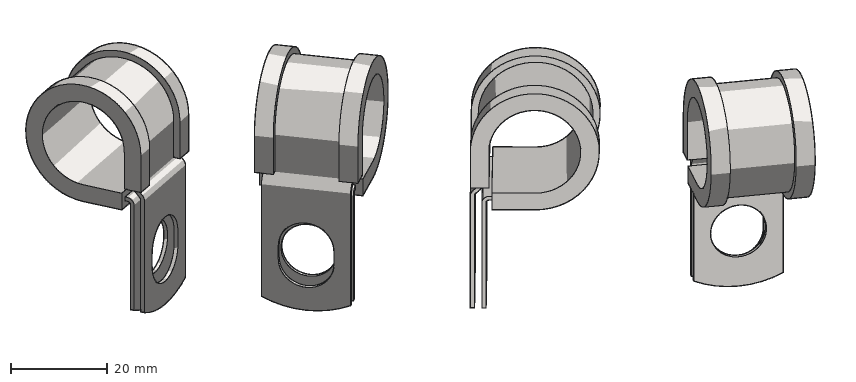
import cadquery as cq
import math

OUTER_RADIUS = 13.4
BORE_RADIUS = 9.5
CUSHION_WIDTH = 22.1
SIDE_LEG = 8.4
BOTTOM_LEG = 8.95
GROOVE_WIDTH = 14.0

STRAP_OUTER_RADIUS = 11.9
STRAP_THICKNESS = 0.9
STRAP_WIDTH = 19.05
BEND_INNER_RADIUS = 0.7
JOG_ANGLE = math.radians(45)
JOG_START_Z = -8.5

OUTER_TAB_FACE_X = 13.45
INNER_TAB_FACE_X = 11.05
TAB_BOTTOM_Z = OUTER_RADIUS - 52.25
TAB_END_RISE = 2.15
HOLE_DIAMETER = 11.85
HOLE_Z = -26.2
SLOT_LENGTH = 14.8

STRAP_RADIUS = STRAP_OUTER_RADIUS - STRAP_THICKNESS / 2
BEND_RADIUS = BEND_INNER_RADIUS + STRAP_THICKNESS / 2
OUTER_TAB_X = OUTER_TAB_FACE_X - STRAP_THICKNESS / 2
INNER_TAB_X = INNER_TAB_FACE_X - STRAP_THICKNESS / 2


def loop_solid(radius, width):
    """Filled three-quarter round with a square corner at +X, -Z."""
    end_plane = cq.Workplane("XZ", origin=(0, width / 2, 0))
    disc = end_plane.circle(radius).extrude(width)
    corner = end_plane.rect(radius, -radius, centered=False).extrude(width)
    return disc.union(corner)


def make_cushion():
    """Lined loop, grooved outside and open at the lower +X corner."""
    cushion = loop_solid(OUTER_RADIUS, CUSHION_WIDTH).cut(loop_solid(BORE_RADIUS, CUSHION_WIDTH))
    groove = loop_solid(OUTER_RADIUS, GROOVE_WIDTH).cut(loop_solid(STRAP_OUTER_RADIUS, GROOVE_WIDTH))
    side_opening = (
        cq.Workplane("XZ", origin=(BORE_RADIUS, CUSHION_WIDTH / 2, -SIDE_LEG))
        .rect(OUTER_RADIUS, -OUTER_RADIUS, centered=False)
        .extrude(CUSHION_WIDTH)
    )
    bottom_opening = (
        cq.Workplane("XZ", origin=(BOTTOM_LEG, CUSHION_WIDTH / 2, -BORE_RADIUS))
        .rect(OUTER_RADIUS, -OUTER_RADIUS, centered=False)
        .extrude(CUSHION_WIDTH)
    )
    return cushion.cut(groove).cut(side_opening).cut(bottom_opening)


def make_strap():
    """One strip swept from the outer tab, round the loop, to the inner tab."""
    bend_run = BEND_RADIUS * math.sin(JOG_ANGLE)
    bend_shift = BEND_RADIUS * (1 - math.cos(JOG_ANGLE))
    jog_shift = OUTER_TAB_X - STRAP_RADIUS
    jog_height = 2 * bend_run + (jog_shift - 2 * bend_shift) / math.tan(JOG_ANGLE)
    jog_end_z = JOG_START_Z - jog_height
    diagonal = math.sqrt(0.5)

    path = (
        cq.Workplane("XZ")
        .moveTo(OUTER_TAB_X, TAB_BOTTOM_Z)
        .lineTo(OUTER_TAB_X, jog_end_z)
        .tangentArcPoint((OUTER_TAB_X - bend_shift, jog_end_z + bend_run), relative=False)
        .lineTo(STRAP_RADIUS + bend_shift, JOG_START_Z - bend_run)
        .tangentArcPoint((STRAP_RADIUS, JOG_START_Z), relative=False)
        .lineTo(STRAP_RADIUS, 0)
        .threePointArc((-STRAP_RADIUS * diagonal, STRAP_RADIUS * diagonal), (0, -STRAP_RADIUS))
        .lineTo(INNER_TAB_X - BEND_RADIUS, -STRAP_RADIUS)
        .tangentArcPoint((INNER_TAB_X, -STRAP_RADIUS - BEND_RADIUS), relative=False)
        .lineTo(INNER_TAB_X, TAB_BOTTOM_Z)
    )
    return (
        cq.Workplane("XY", origin=(OUTER_TAB_X, 0, TAB_BOTTOM_Z))
        .rect(STRAP_THICKNESS, STRAP_WIDTH)
        .sweep(path)
    )


def tab_profile_cutter():
    """Material below the rounded tab ends, together with the bolt hole and slot."""
    corner_z = TAB_BOTTOM_Z + TAB_END_RISE
    below_z = TAB_BOTTOM_Z - TAB_END_RISE
    half_width = STRAP_WIDTH / 2
    below_ends = (
        cq.Workplane("YZ")
        .moveTo(-half_width, corner_z)
        .threePointArc((0, TAB_BOTTOM_Z), (half_width, corner_z))
        .lineTo(half_width, below_z)
        .lineTo(-half_width, below_z)
        .close()
        .extrude(2 * OUTER_RADIUS)
    )
    bolt_hole = (
        cq.Workplane("YZ", origin=(0, 0, HOLE_Z))
        .circle(HOLE_DIAMETER / 2)
        .extrude(INNER_TAB_FACE_X)
    )
    adjusting_slot = (
        cq.Workplane("YZ", origin=(INNER_TAB_FACE_X, 0, HOLE_Z))
        .slot2D(SLOT_LENGTH, HOLE_DIAMETER, 90)
        .extrude(OUTER_RADIUS)
    )
    return below_ends.union(bolt_hole).union(adjusting_slot)


strap = make_strap().cut(tab_profile_cutter())
result = make_cushion().union(strap)